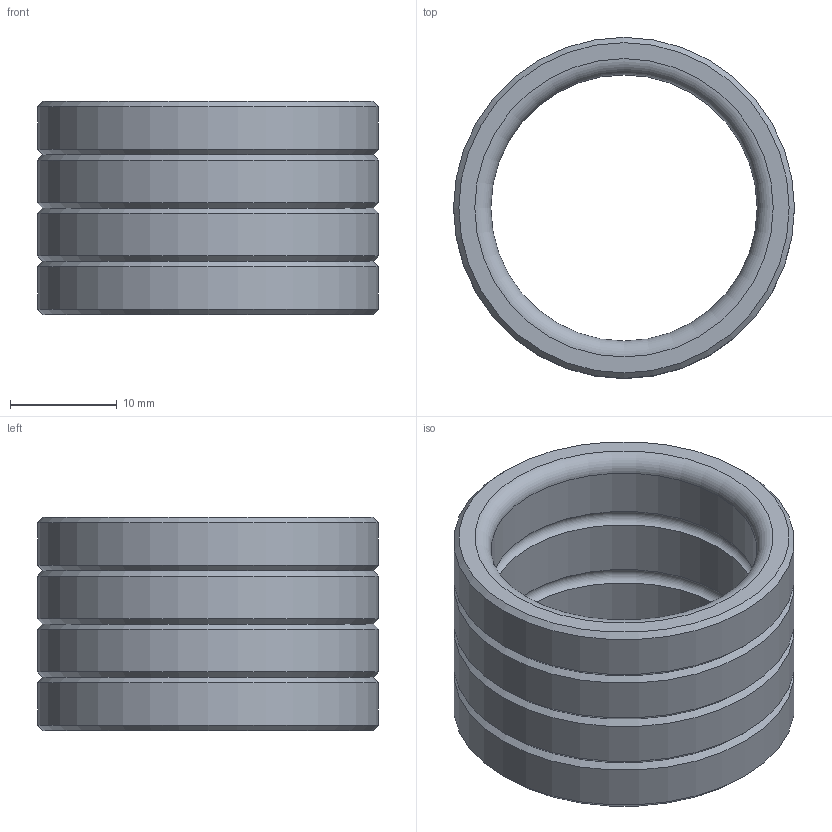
import cadquery as cq

outer_radius = 16.0
bore_radius = 12.5
height = 20.0
edge_chamfer = 0.5
bore_fillet = 1.5

band_count = 4
v_groove_depth = 0.5

land_count = 3
bore_groove_half_width = 0.765
bore_groove_depth = 0.61


def make_body():
    """Plain ring with chamfered outer rims and rounded bore mouths."""
    body = cq.Workplane("XY").circle(outer_radius).extrude(height)
    body = body.faces("|Z").edges().chamfer(edge_chamfer)
    bore = cq.Workplane("XY").circle(bore_radius).extrude(height)
    smallest_circles = cq.selectors.RadiusNthSelector(0)
    return body.cut(bore).faces("|Z").edges(smallest_circles).fillet(bore_fillet)


def make_v_groove(z):
    """Ring-shaped 45-degree cutter for an outside groove centred at height z."""
    reach = 2 * v_groove_depth
    root_radius = outer_radius - v_groove_depth
    profile = (
        cq.Workplane("XZ")
        .moveTo(root_radius, z)
        .lineTo(root_radius + reach, z + reach)
        .lineTo(root_radius + reach, z - reach)
        .close()
    )
    return profile.revolve(360, (0, 0, 0), (0, 1, 0))


def make_bore_groove(z):
    """Ring-shaped cutter for an arc-bottomed bore groove centred at height z."""
    bottom_z = z - bore_groove_half_width
    top_z = z + bore_groove_half_width
    open_radius = bore_radius - bore_groove_depth
    profile = (
        cq.Workplane("XZ")
        .moveTo(bore_radius, bottom_z)
        .threePointArc((bore_radius + bore_groove_depth, z), (bore_radius, top_z))
        .lineTo(open_radius, top_z)
        .lineTo(open_radius, bottom_z)
        .close()
    )
    return profile.revolve(360, (0, 0, 0), (0, 1, 0))


result = make_body()

for band in range(1, band_count):
    result = result.cut(make_v_groove(band * height / band_count))

for land in range(1, land_count):
    result = result.cut(make_bore_groove(land * height / land_count))